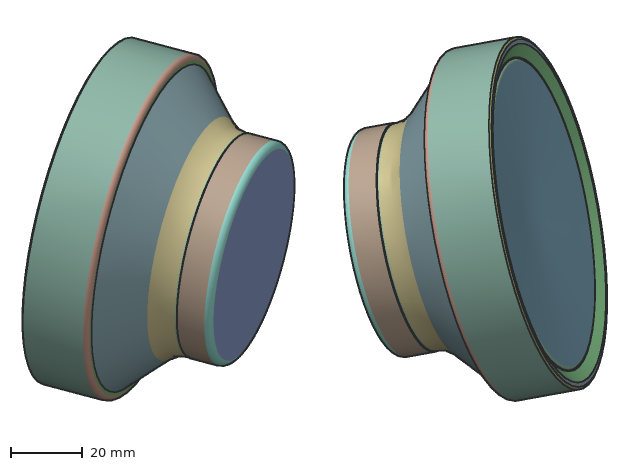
import cadquery as cq

total_length = 50.0
head_radius = 50.0
head_length = 20.0
head_chamfer_radial = 0.75
head_chamfer_axial = 0.5
head_back_fillet = 1.5
cone_start_radius = 47.2
neck_radius = 32.3
neck_fillet = 10.0
mount_radius = 32.5
mount_length = 10.2
mount_front_chamfer = mount_radius - neck_radius
mount_back_fillet = 2.0

recess_mouth_radius = 48.0
recess_depth = 2.0
recess_floor_radius = 44.5
lens_radius = 44.2
lens_front = 1.5
lens_thickness = 8.0
lens_edge_fillet = 0.9
lens_dish_depth = 4.0

mount_start = total_length - mount_length
cone_end = head_length + cone_start_radius - neck_radius
lens_back = lens_front + lens_thickness


def revolve_about_x(profile):
    """Turn a closed profile, drawn as (X, radius), into a solid about the X axis."""
    return profile.close().revolve(360, (0, 0, 0), (1, 0, 0))


def ring_edge(body, x, radius):
    """Pick the outermost circular edge, of the given radius, lying in the plane at x."""
    margin = 0.01
    corner_low = (x - margin, -radius - margin, -radius - margin)
    corner_high = (x + margin, radius + margin, radius + margin)
    ring = cq.selectors.BoxSelector(corner_low, corner_high, boundingbox=True)
    return body.edges(ring).edges(cq.selectors.RadiusNthSelector(-1))


def make_housing():
    """Head, cone, neck and mount in one turned body, with a seat for the lens."""
    housing = revolve_about_x(
        cq.Workplane("XY")
        .moveTo(lens_back, 0)
        .lineTo(lens_back, lens_radius)
        .lineTo(recess_depth, lens_radius)
        .lineTo(recess_depth, recess_floor_radius)
        .lineTo(0, recess_mouth_radius)
        .lineTo(0, head_radius - head_chamfer_radial)
        .lineTo(head_chamfer_axial, head_radius)
        .lineTo(head_length, head_radius)
        .lineTo(head_length, cone_start_radius)
        .lineTo(cone_end, neck_radius)
        .lineTo(mount_start - mount_front_chamfer, neck_radius)
        .lineTo(mount_start, mount_radius)
        .lineTo(total_length, mount_radius)
        .lineTo(total_length, 0)
    )
    housing = ring_edge(housing, head_length, head_radius).fillet(head_back_fillet)
    housing = ring_edge(housing, cone_end, neck_radius).fillet(neck_fillet)
    return ring_edge(housing, total_length, mount_radius).fillet(mount_back_fillet)


def make_lens():
    """Disc with a shallow dished (conical) front and a rounded rim."""
    lens = revolve_about_x(
        cq.Workplane("XY")
        .moveTo(lens_back, 0)
        .lineTo(lens_back, lens_radius)
        .lineTo(lens_front, lens_radius)
        .lineTo(lens_front + lens_dish_depth, 0)
    )
    return ring_edge(lens, lens_front, lens_radius).fillet(lens_edge_fillet)


housing = make_housing()
lens = make_lens()

result = cq.Compound.makeCompound([housing.val(), lens.val()])